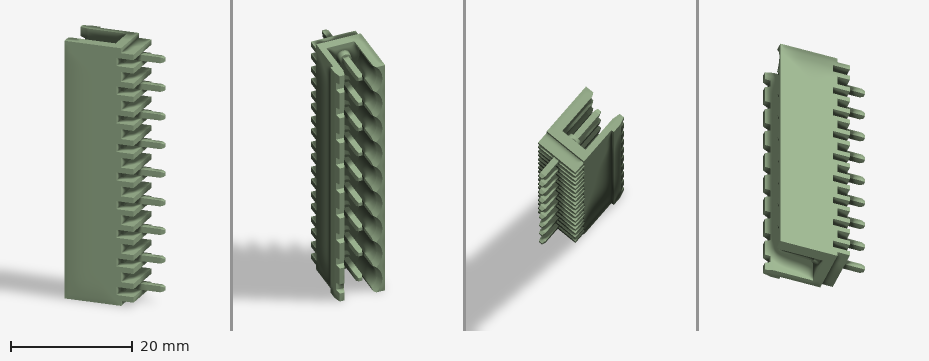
import cadquery as cq

pole_count = 9
pitch = 5.0
length = pole_count * pitch
pole_heights = [(index + 0.5) * pitch for index in range(pole_count)]

base_end_x = 10.0
foot_end_x = 12.2
floor_x = 8.3
housing_width = 8.0
lower_wall_top = 1.9
upper_wall_bottom = 6.9
latch_width = 8.5
latch_end_x = 3.0

lead_in_length = 1.4
lead_in_depth = 0.35
tip_top = latch_width - lead_in_depth
tip_bottom = upper_wall_bottom + lead_in_depth

notch_depth = 0.9
notch_floor_width = 1.35
notch_mouth_width = 1.85

pin_y = 3.9
scallop_radius = 2.95
scallop_mouth_radius = 3.4

foot_height = 3.3
slot_height = 1.4
slot_floor_x = 9.2
slot_step_x = 9.8
slot_step_y = 1.9

pin_size = 1.05
pin_start_x = 1.2
pin_end_x = 16.2
pin_taper_length = 0.6
pin_tip_size = 0.65
collar_length = 1.0
collar_base_radius = 1.25
collar_top_radius = 1.05


def block(x_range, y_range, z_center, height):
    """Box spanning the given X and Y ranges, centred on a height."""
    x_min, x_max = x_range
    y_min, y_max = y_range
    return (
        cq.Workplane("XY")
        .box(x_max - x_min, y_max - y_min, height, centered=(False, False, True))
        .translate((x_min, y_min, z_center))
    )


def cone(x_start, start_radius, x_end, end_radius, z_center):
    """Truncated cone along X on the axis of a pin."""
    return cq.Workplane(
        cq.Solid.makeCone(
            start_radius,
            end_radius,
            x_end - x_start,
            pnt=cq.Vector(x_start, pin_y, z_center),
            dir=cq.Vector(1, 0, 0),
        )
    )


def make_channel():
    outline = [
        (0, 0),
        (base_end_x, 0),
        (base_end_x, housing_width),
        (latch_end_x, housing_width),
        (latch_end_x, latch_width),
        (lead_in_length, latch_width),
        (0, tip_top),
        (0, tip_bottom),
        (lead_in_length, upper_wall_bottom),
        (floor_x, upper_wall_bottom),
        (floor_x, lower_wall_top),
        (0, lower_wall_top),
    ]
    return cq.Workplane("XY").polyline(outline).close().extrude(length)


def make_scallop(z_center):
    bore = (
        cq.Workplane("YZ")
        .center(pin_y, z_center)
        .circle(scallop_radius)
        .extrude(floor_x)
    )
    mouth = cone(0, scallop_mouth_radius, lead_in_length, scallop_radius, z_center)
    lower_half = block((0, floor_x), (0, pin_y), z_center, pitch)
    return bore.union(mouth).intersect(lower_half)


def make_notch(z_center):
    outline = [
        (0, z_center - notch_mouth_width / 2),
        (notch_depth, z_center - notch_floor_width / 2),
        (notch_depth, z_center + notch_floor_width / 2),
        (0, z_center + notch_mouth_width / 2),
    ]
    return (
        cq.Workplane("XZ", origin=(0, upper_wall_bottom, 0))
        .polyline(outline)
        .close()
        .extrude(upper_wall_bottom - latch_width)
    )


def make_foot(z_center):
    return block((base_end_x, foot_end_x), (0, housing_width), z_center, foot_height)


def make_slot(z_center):
    front = block((slot_floor_x, foot_end_x), (0, slot_step_y), z_center, slot_height)
    rear = block((slot_step_x, foot_end_x), (0, housing_width), z_center, slot_height)
    return front.union(rear)


def make_pin(z_center):
    def taper(root_x, tip_x):
        return (
            cq.Workplane("YZ", origin=(root_x, pin_y, z_center))
            .rect(pin_size, pin_size)
            .workplane(offset=tip_x - root_x)
            .rect(pin_tip_size, pin_tip_size)
            .loft(ruled=True)
        )

    shank_start_x = pin_start_x + pin_taper_length
    shank_end_x = pin_end_x - pin_taper_length
    pin_y_range = (pin_y - pin_size / 2, pin_y + pin_size / 2)
    shank = block((shank_start_x, shank_end_x), pin_y_range, z_center, pin_size)
    mating_end = taper(shank_start_x, pin_start_x)
    solder_end = taper(shank_end_x, pin_end_x)
    return shank.union(mating_end).union(solder_end)


def make_collar(z_center):
    return cone(floor_x - collar_length, collar_top_radius, floor_x, collar_base_radius, z_center)


result = make_channel()
for pole_z in pole_heights:
    result = result.cut(make_scallop(pole_z)).cut(make_notch(pole_z))
    result = result.union(make_foot(pole_z)).cut(make_slot(pole_z))
    result = result.union(make_collar(pole_z)).union(make_pin(pole_z))